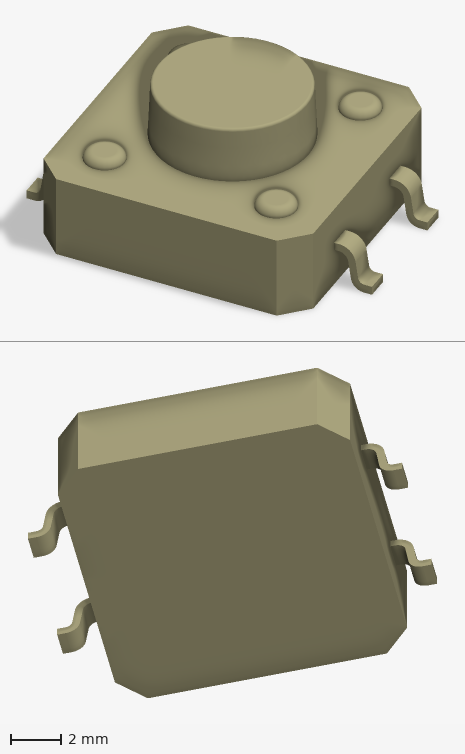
import cadquery as cq

body_side = 12.0
body_height = 3.65
corner_chamfer = 1.09

overall_height = 6.1
button_base_radius = 3.4
button_top_radius = 3.29
button_edge_radius = 0.12

peg_radius = 0.88
peg_height = 0.38
peg_edge_radius = 0.37
peg_spacing = 7.64

overall_length = 15.37
lead_width = 1.0
lead_spacing = 5.03
lead_thickness = 0.34
lead_top_height = 2.01
foot_thickness = 0.38
lead_lean = 0.15
knee_to_body = 0.57
leg_run = 0.34
upper_outer_radius = 0.74
upper_inner_radius = 0.43
lower_outer_radius = 0.58
lower_inner_radius = 0.28


def make_body():
    block = cq.Workplane("XY").box(body_side, body_side, body_height, centered=(True, True, False))
    return block.edges("|Z").chamfer(corner_chamfer)


def make_button():
    """Cone frustum with a rounded rim, turned about Z."""
    cap = (
        cq.Workplane("XZ")
        .moveTo(0, body_height)
        .lineTo(button_base_radius, body_height)
        .lineTo(button_top_radius, overall_height)
        .lineTo(0, overall_height)
        .close()
        .revolve(360, (0, 0, 0), (0, 1, 0))
    )
    return cap.faces(">Z").edges().fillet(button_edge_radius)


def make_pegs():
    pegs = (
        cq.Workplane("XY", origin=(0, 0, body_height))
        .rect(peg_spacing, peg_spacing, forConstruction=True)
        .vertices()
        .circle(peg_radius)
        .extrude(peg_height)
    )
    return pegs.faces(">Z").edges().fillet(peg_edge_radius)


def make_lead():
    """S-shaped lead on the +X side, centred on Y = 0."""
    wall = body_side / 2
    tip = overall_length / 2
    lead_underside = lead_top_height - lead_thickness

    def leg_inner_x(z):
        return wall + knee_to_body + lead_lean * (lead_underside - z)

    def leg_outer_x(z):
        return leg_inner_x(z) + leg_run

    upper_outer = (leg_outer_x(lead_top_height), lead_top_height)
    upper_inner = (leg_inner_x(lead_underside), lead_underside)
    lower_outer = (leg_inner_x(0), 0)
    lower_inner = (leg_outer_x(foot_thickness), foot_thickness)

    lead = (
        cq.Workplane("XZ")
        .polyline([
            (wall, lead_top_height),
            upper_outer,
            lower_inner,
            (tip, foot_thickness),
            (tip, 0),
            lower_outer,
            upper_inner,
            (wall, lead_underside),
        ])
        .close()
        .extrude(lead_width / 2, both=True)
    )
    bends = [
        (upper_outer, upper_outer_radius),
        (lower_outer, lower_outer_radius),
        (upper_inner, upper_inner_radius),
        (lower_inner, lower_inner_radius),
    ]
    for (x, z), radius in bends:
        corner_edge = cq.selectors.NearestToPointSelector((x, 0, z))
        lead = lead.edges(corner_edge).fillet(radius)
    return lead


result = make_body().union(make_button()).union(make_pegs())

lead_plus_x = make_lead()
lead_minus_x = lead_plus_x.mirror("YZ")
for y in (-lead_spacing / 2, lead_spacing / 2):
    for lead in (lead_plus_x, lead_minus_x):
        result = result.union(lead.translate((0, y, 0)))